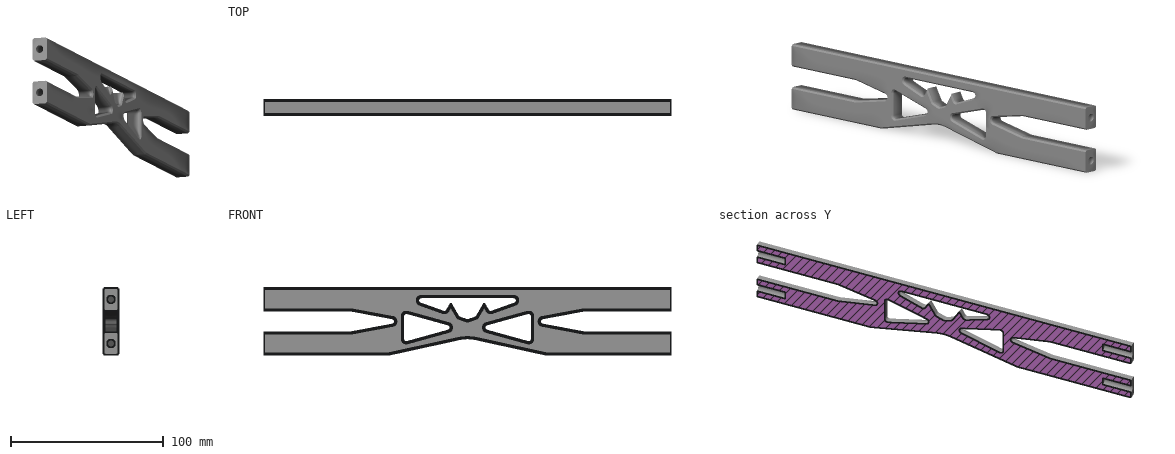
import cadquery as cq
import math

length = 266.0
thickness = 10.0
height = 44.0
half_length = length / 2
half_height = height / 2

slot_half_gap = 7.0
arm_height = half_height - slot_half_gap
slot_taper_start = 75.5
slot_taper_slope = math.tan(math.radians(10.6))
slot_tip_radius = 2.0

vee_half_width = 52.1
vee_depth = 11.5
vee_radius = 25.3

window_base_x = 42.0
window_point_x = 5.5
window_mid_z = -4.0
window_half_height = 10.0
window_radius = 2.0

crown_top_z = 15.7
crown_tip_x = 41.8
crown_bottom_z = 0.8
crown_radius = 2.0
tooth_x = 11.0
tooth_tip_z = 11.7
tooth_flank_slope = math.tan(math.radians(60))

edge_chamfer = 1.0
bore_diameter = 5.0
bore_depth = 20.0


def prism(points):
    """Closed XZ polygon extruded through the whole thickness, centred on Y."""
    return cq.Workplane("XZ").polyline(points).close().extrude(thickness / 2, both=True)


def body():
    plate = cq.Workplane("XY").box(length, thickness, height)
    vee = prism([
        (-vee_half_width, -half_height),
        (vee_half_width, -half_height),
        (0, -half_height + vee_depth),
    ])
    vee = vee.edges("|Y").edges(">Z").fillet(vee_radius)
    return plate.cut(vee)


def end_slot():
    """Slot in the -X end, narrowing to a full-round tip."""
    apex_x = -slot_taper_start + slot_half_gap / slot_taper_slope
    slot = prism([
        (-half_length, slot_half_gap),
        (-slot_taper_start, slot_half_gap),
        (apex_x, 0),
        (-slot_taper_start, -slot_half_gap),
        (-half_length, -slot_half_gap),
    ])
    return slot.edges("|Y").edges(">X").fillet(slot_tip_radius)


def triangular_window():
    """Window on the -X side with all three corners rounded."""
    window = prism([
        (-window_base_x, window_mid_z + window_half_height),
        (-window_point_x, window_mid_z),
        (-window_base_x, window_mid_z - window_half_height),
    ])
    return window.edges("|Y").fillet(window_radius)


def crown_window():
    """Window with every corner rounded except the two sharp tooth tips."""
    floor_slope = (crown_top_z - crown_bottom_z) / crown_tip_x
    tooth_rise = tooth_tip_z - (crown_bottom_z + floor_slope * tooth_x)
    outer_x = tooth_x + tooth_rise / (tooth_flank_slope + floor_slope)
    inner_x = tooth_x - tooth_rise / (tooth_flank_slope - floor_slope)
    left_side = [
        (-crown_tip_x, crown_top_z),
        (-outer_x, crown_bottom_z + floor_slope * outer_x),
        (-tooth_x, tooth_tip_z),
        (-inner_x, crown_bottom_z + floor_slope * inner_x),
    ]
    right_side = [(-x, z) for x, z in reversed(left_side)]
    window = prism(left_side + [(0, crown_bottom_z)] + right_side)
    tooth_tips = cq.selectors.BoxSelector(
        (-2 * tooth_x, -thickness, tooth_tip_z - crown_radius / 2),
        (2 * tooth_x, thickness, tooth_tip_z + crown_radius / 2),
    )
    corners = cq.selectors.ParallelDirSelector(cq.Vector(0, 1, 0)) - tooth_tips
    return window.edges(corners).fillet(crown_radius)


def end_bore(z):
    """Blind round hole running along X from the -X end."""
    start = cq.Workplane("YZ", origin=(-half_length, 0, z))
    return start.circle(bore_diameter / 2).extrude(bore_depth)


def with_mirror(cutter):
    return cutter.union(cutter.mirror("YZ"))


frame = body()
frame = frame.cut(with_mirror(end_slot()))
frame = frame.cut(with_mirror(triangular_window()))
frame = frame.cut(crown_window())

frame = frame.faces("<Y or >Y").edges("not (<X or >X)").chamfer(edge_chamfer)

arm_mid_z = half_height - arm_height / 2
for bore_z in (-arm_mid_z, arm_mid_z):
    frame = frame.cut(with_mirror(end_bore(bore_z)))

result = frame